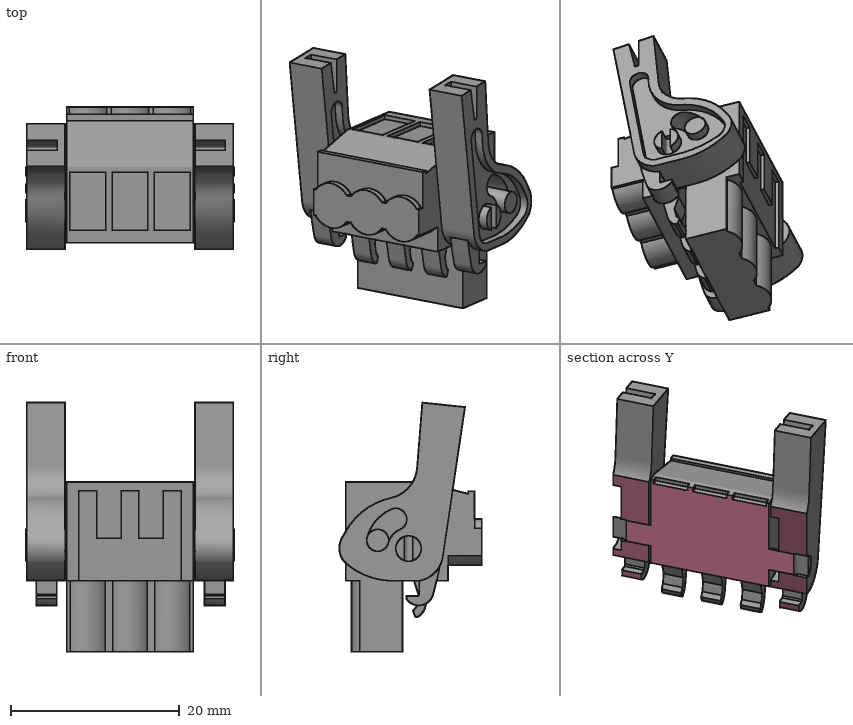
import cadquery as cq
import math


POLES = 3
POLE_PITCH = 5.0
POLE_CENTRES = [(i - (POLES - 1) / 2) * POLE_PITCH for i in range(POLES)]

HOUSING_WIDTH = 15.0
OVERALL_WIDTH = 24.7
OVERALL_HEIGHT = 29.52
LEVER_TOP = 17.3
CUT_MARGIN = 0.3

FRONT_Y = -7.45
BLOCK_BACK_Y = 1.55
BLOCK_TOP = 7.9
HOUSING_BOTTOM = -3.85
LOWER_BACK_Y = 4.7
SHOULDER_BACK_Y = 7.82
SHOULDER_TOP = 6.8
RIDGE_LENGTH = 0.77
RIDGE_HEIGHT = 0.3

ENTRY_BACK_Y = 8.68
ENTRY_CENTRE_Z = 0.77
ENTRY_RADIUS = 2.75
ENTRY_FLAT_HEIGHT = 3.22

PLUG_BACK_Y = -0.7
PLUG_FRONT_Y = -5.8
PLUG_BULGE = 0.97
PLUG_BULGE_RADIUS = 2.7
PLUG_BOTTOM = LEVER_TOP - OVERALL_HEIGHT

WINDOW_WIDTH = 4.25
WINDOW_BACK_Y = 0.92
WINDOW_LENGTH = 6.88
WINDOW_DEPTH = 0.5

PANEL_DEPTH = 0.4
PANEL_LEG_WIDTH = 2.13
PANEL_TOP = 6.82
PANEL_LEG_ROOT = 1.25

PIVOT_RADIUS = 1.5
PIVOT_SLIT_WIDTH = 1.03
PIVOT_SLIT_DEPTH = 1.77
GUIDE_RADIUS = 1.3
GUIDE_ORBIT = 3.78
GUIDE_ANGLE = 165.0
GUIDE_SWEEP = 51.5

LEVER_WIDTH = 4.58
LEVER_GAP = 0.18
LEVER_PITCH = HOUSING_WIDTH + 2 * LEVER_GAP + LEVER_WIDTH
LEVER_CENTRES = [-LEVER_PITCH / 2, LEVER_PITCH / 2]
RECESS_DEPTH = 1.0
GRIP_SLOT_DEPTH = 3.63
HOOK_WIDTH = 2.48
HOOK_OFFSET = 1.12

CATCH_WIDTH = 2.48


def box(x_range, y_range, z_range):
    """Box between two limits on each axis."""
    lows, highs = zip(*(sorted(limits) for limits in (x_range, y_range, z_range)))
    sizes = [high - low for low, high in zip(lows, highs)]
    return cq.Workplane("XY").box(*sizes, centered=False).translate(lows)


def rod_along_x(radius, x_start, x_end, y, z):
    """Round rod along X."""
    return cq.Workplane("YZ").center(y, z).circle(radius).extrude(x_end - x_start).translate((x_start, 0, 0))


def on_orbit(radius, angle):
    """(Y, Z) point at a radius and angle about the lever axis."""
    return radius * math.cos(math.radians(angle)), radius * math.sin(math.radians(angle))


def housing_block():
    """Main block with the sloped shoulder behind it."""
    ridge_front_y = SHOULDER_BACK_Y - RIDGE_LENGTH
    outline = [
        (FRONT_Y, HOUSING_BOTTOM),
        (FRONT_Y, BLOCK_TOP),
        (BLOCK_BACK_Y, BLOCK_TOP),
        (ridge_front_y, SHOULDER_TOP - RIDGE_HEIGHT),
        (ridge_front_y, SHOULDER_TOP),
        (SHOULDER_BACK_Y, SHOULDER_TOP),
        (SHOULDER_BACK_Y, ENTRY_CENTRE_Z),
        (LOWER_BACK_Y, ENTRY_CENTRE_Z),
        (LOWER_BACK_Y, HOUSING_BOTTOM),
    ]
    return cq.Workplane("YZ").polyline(outline).close().extrude(HOUSING_WIDTH / 2, both=True)


def wire_entries():
    """Flat bar at the back with one round wire entry per pole."""
    half_width = HOUSING_WIDTH / 2
    half_height = ENTRY_FLAT_HEIGHT / 2
    entries = box(
        (-half_width, half_width),
        (BLOCK_BACK_Y, ENTRY_BACK_Y),
        (ENTRY_CENTRE_Z - half_height, ENTRY_CENTRE_Z + half_height),
    )
    for x in POLE_CENTRES:
        barrel = cq.Workplane("XZ").center(x, ENTRY_CENTRE_Z).circle(ENTRY_RADIUS)
        barrel = barrel.extrude(ENTRY_BACK_Y - BLOCK_BACK_Y).translate((0, ENTRY_BACK_Y, 0))
        entries = entries.union(barrel)
    width_limit = box(
        (-half_width, half_width),
        (BLOCK_BACK_Y, ENTRY_BACK_Y),
        (ENTRY_CENTRE_Z - ENTRY_RADIUS, ENTRY_CENTRE_Z + ENTRY_RADIUS),
    )
    return entries.intersect(width_limit)


def plug():
    """Plug below the block: a flat slab with one rounded front per pole."""
    half_width = HOUSING_WIDTH / 2
    half_chord = math.sqrt(PLUG_BULGE_RADIUS ** 2 - (PLUG_BULGE_RADIUS - PLUG_BULGE) ** 2)
    outline = cq.Workplane("XY").moveTo(-half_width, PLUG_BACK_Y).lineTo(-half_width, PLUG_FRONT_Y)
    for x in POLE_CENTRES:
        outline = outline.lineTo(x - half_chord, PLUG_FRONT_Y)
        outline = outline.threePointArc((x, PLUG_FRONT_Y - PLUG_BULGE), (x + half_chord, PLUG_FRONT_Y))
    outline = outline.lineTo(half_width, PLUG_FRONT_Y).lineTo(half_width, PLUG_BACK_Y).close()
    return outline.extrude(HOUSING_BOTTOM - PLUG_BOTTOM).translate((0, 0, PLUG_BOTTOM))


def studs(side):
    """Slit pivot stud and plain guide stud on one side of the housing (side is -1 or 1)."""
    root = side * HOUSING_WIDTH / 2
    tip = side * OVERALL_WIDTH / 2
    limits = sorted((root, tip))
    pivot = rod_along_x(PIVOT_RADIUS, *limits, 0, 0)
    slit_end = tip - side * (PIVOT_SLIT_DEPTH - PIVOT_SLIT_WIDTH / 2)
    slit = box(
        (slit_end, tip + side * CUT_MARGIN),
        (-PIVOT_SLIT_WIDTH / 2, PIVOT_SLIT_WIDTH / 2),
        (-PIVOT_RADIUS, PIVOT_RADIUS),
    )
    slit_floor = cq.Workplane("XY").center(slit_end, 0).circle(PIVOT_SLIT_WIDTH / 2)
    slit_floor = slit_floor.extrude(PIVOT_RADIUS, both=True)
    guide = rod_along_x(GUIDE_RADIUS, *limits, *on_orbit(GUIDE_ORBIT, GUIDE_ANGLE))
    return pivot.cut(slit).cut(slit_floor).union(guide)


def windows():
    """Shallow rectangular pockets in the top, one per pole."""
    pockets = cq.Workplane("XY").workplane(offset=BLOCK_TOP - WINDOW_DEPTH)
    pockets = pockets.pushPoints([(x, WINDOW_BACK_Y - WINDOW_LENGTH / 2) for x in POLE_CENTRES])
    return pockets.rect(WINDOW_WIDTH, WINDOW_LENGTH).extrude(WINDOW_DEPTH)


def front_panel():
    """Shallow comb-shaped recess in the front face, open at the bottom."""
    depth_range = (FRONT_Y, FRONT_Y + PANEL_DEPTH)
    half_leg = PANEL_LEG_WIDTH / 2
    panel = box(
        (POLE_CENTRES[0] - half_leg, POLE_CENTRES[-1] + half_leg),
        depth_range,
        (HOUSING_BOTTOM, PANEL_LEG_ROOT),
    )
    for x in POLE_CENTRES:
        panel = panel.union(box((x - half_leg, x + half_leg), depth_range, (HOUSING_BOTTOM, PANEL_TOP)))
    return panel


def make_housing():
    housing = housing_block().union(wire_entries()).union(plug())
    housing = housing.cut(windows()).cut(front_panel())
    return housing.union(studs(-1)).union(studs(1))


def lever_plate():
    """Lever body: straight grip above a rounded cam."""
    outline = (
        cq.Workplane("YZ")
        .moveTo(1.62, LEVER_TOP)
        .lineTo(6.7, 16.77)
        .lineTo(4.1, -0.68)
        .threePointArc((3.2, -2.77), (1.33, -3.8))
        .lineTo(-2.3, -3.8)
        .threePointArc((-5.0, -3.22), (-7.68, -1.5))
        .threePointArc((-8.2, 0.0), (-7.9, 1.25))
        .lineTo(-7.5, 1.92)
        .threePointArc((-5.0, 4.72), (-1.95, 6.02))
        .threePointArc((0.15, 7.38), (1.0, 9.55))
        .close()
    )
    return outline.extrude(LEVER_WIDTH)


def lever_recess():
    """Recess in the -X face that follows the lever outline."""
    outline = (
        cq.Workplane("YZ")
        .moveTo(4.63, 10.7)
        .threePointArc((3.48, 11.87), (2.3, 10.7))
        .lineTo(2.2, 9.55)
        .threePointArc((1.15, 6.9), (-1.4, 5.15))
        .threePointArc((-4.95, 3.48), (-6.85, 1.25))
        .lineTo(-7.17, 0.68)
        .threePointArc((-7.35, -0.3), (-6.65, -1.48))
        .threePointArc((-4.58, -2.4), (-2.07, -2.83))
        .lineTo(1.35, -2.83)
        .threePointArc((2.42, -2.3), (2.92, -1.3))
        .close()
    )
    return outline.extrude(RECESS_DEPTH)


def grip_slot():
    """Wedge slot in the top of the grip, open on the -X face."""
    outline = (
        cq.Workplane("YZ")
        .moveTo(3.5, LEVER_TOP)
        .lineTo(3.5, 13.28)
        .threePointArc((3.75, 13.05), (4.0, 13.28))
        .lineTo(4.78, LEVER_TOP)
        .close()
    )
    return outline.extrude(GRIP_SLOT_DEPTH)


def guide_slot():
    """Through slot along an arc about the lever axis."""
    outer = GUIDE_ORBIT + GUIDE_RADIUS
    inner = GUIDE_ORBIT - GUIDE_RADIUS
    start = GUIDE_ANGLE
    end = GUIDE_ANGLE - GUIDE_SWEEP
    middle = (start + end) / 2
    cap_turn = math.degrees(2 * math.asin(GUIDE_RADIUS / (2 * GUIDE_ORBIT)))
    start_cap = on_orbit(GUIDE_ORBIT, start + cap_turn)
    end_cap = on_orbit(GUIDE_ORBIT, end - cap_turn)
    outline = (
        cq.Workplane("YZ")
        .moveTo(*on_orbit(outer, start))
        .threePointArc(on_orbit(outer, middle), on_orbit(outer, end))
        .threePointArc(end_cap, on_orbit(inner, end))
        .threePointArc(on_orbit(inner, middle), on_orbit(inner, start))
        .threePointArc(start_cap, on_orbit(outer, start))
        .close()
    )
    return outline.extrude(LEVER_WIDTH)


def lever_hook():
    """Locking hook under the cam."""
    outline = (
        cq.Workplane("YZ")
        .moveTo(3.72, -2.07)
        .lineTo(3.35, -3.85)
        .lineTo(2.92, -5.45)
        .threePointArc((1.45, -6.73), (-0.27, -5.93))
        .lineTo(-0.27, -5.6)
        .lineTo(1.12, -5.6)
        .lineTo(1.27, -5.4)
        .lineTo(1.27, -3.55)
        .close()
    )
    return outline.extrude(HOOK_WIDTH).translate((HOOK_OFFSET, 0, 0))


def make_lever(centre_x):
    lever = lever_plate().cut(lever_recess()).cut(grip_slot()).cut(guide_slot())
    lever = lever.cut(rod_along_x(PIVOT_RADIUS, 0, LEVER_WIDTH, 0, 0))
    lever = lever.union(lever_hook())
    return lever.translate((centre_x - LEVER_WIDTH / 2, 0, 0))


def make_catch(centre_x):
    """Small catch hook that hangs from the underside of the housing behind the plug."""
    outline = (
        cq.Workplane("YZ")
        .moveTo(2.65, HOUSING_BOTTOM)
        .lineTo(0.65, HOUSING_BOTTOM)
        .lineTo(1.2, -5.6)
        .lineTo(0.95, -6.85)
        .lineTo(0.53, -7.38)
        .lineTo(0.77, -8.03)
        .lineTo(1.03, -8.15)
        .threePointArc((1.65, -7.62), (2.05, -6.75))
        .close()
    )
    return outline.extrude(CATCH_WIDTH).translate((centre_x - CATCH_WIDTH / 2, 0, 0))


housing = make_housing()
levers = [make_lever(x) for x in LEVER_CENTRES]
catches = [make_catch(x) for x in POLE_CENTRES]

result = cq.Compound.makeCompound([body.val() for body in [housing, *levers, *catches]])